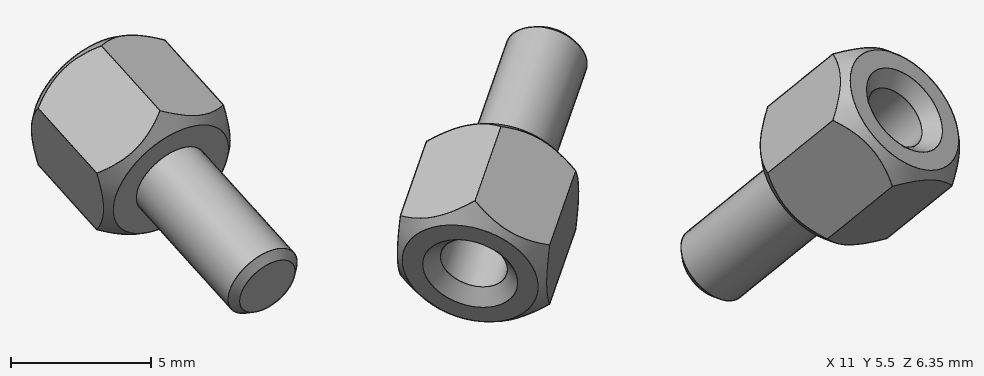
import cadquery as cq
import math

total_length = 11.0
across_flats = 5.5
across_corners = across_flats / math.cos(math.pi / 6)

head_length = 4.99
head_face_diameter = 5.0
head_bevel = (across_corners - head_face_diameter) / 2

stud_diameter = 3.0
stud_tip_chamfer = 0.3

hole_diameter = 2.46
hole_depth = 3.52
drill_point_angle = 118.0
countersink_diameter = 3.5
countersink_depth = (countersink_diameter - hole_diameter) / 2


def make_head():
    """Hexagonal prism with corners up and down, bevelled on both ends by a turned envelope."""
    prism = (
        cq.Workplane("YZ")
        .polygon(6, across_corners)
        .extrude(head_length)
        .rotate((0, 0, 0), (1, 0, 0), 90)
    )
    envelope = (
        cq.Workplane("YZ")
        .circle(across_corners / 2)
        .extrude(head_length)
        .faces("<X or >X")
        .chamfer(head_bevel)
    )
    return prism.intersect(envelope)


def make_stud():
    """Round stud behind the head, chamfered at its tip."""
    return (
        cq.Workplane("YZ", origin=(head_length, 0, 0))
        .circle(stud_diameter / 2)
        .extrude(total_length - head_length)
        .faces(">X")
        .chamfer(stud_tip_chamfer)
    )


def make_hole():
    """Countersunk hole with a conical drill point, as a half profile turned about X."""
    hole_radius = hole_diameter / 2
    point_length = hole_radius / math.tan(math.radians(drill_point_angle / 2))
    return (
        cq.Workplane("XY")
        .lineTo(0, countersink_diameter / 2)
        .lineTo(countersink_depth, hole_radius)
        .lineTo(hole_depth, hole_radius)
        .lineTo(hole_depth + point_length, 0)
        .close()
        .revolve(360, (0, 0, 0), (1, 0, 0))
    )


result = make_head().union(make_stud()).cut(make_hole())